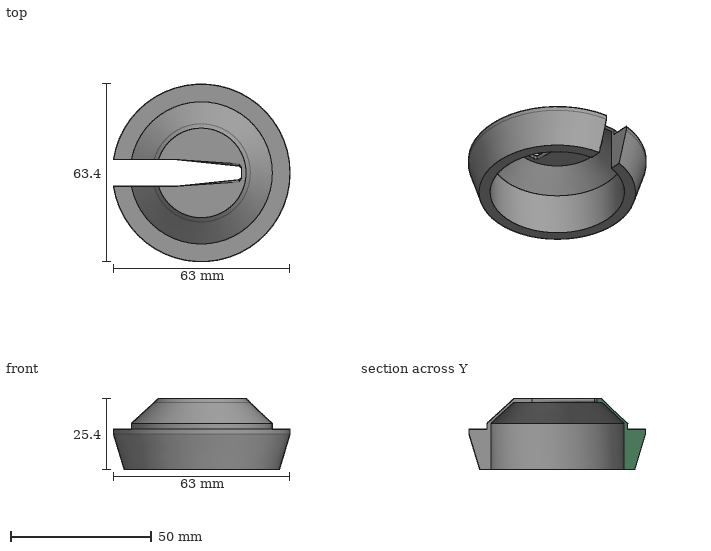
import cadquery as cq

rim_radius = 31.7
base_radius = 27.9
step_radius = 25.35
shoulder_radius = 17.5
top_radius = 16.0
rim_bottom = 12.7
rim_top = 14.4
cone_bottom = 16.5
total_height = 25.4

wall = 1.4
roof_thickness = 1.5
ceiling = total_height - roof_thickness

slot_half_width = 4.75
taper_start = -8.9
lip_end = 13.5
slot_end = 14.25
lip_edge_half_width = 3.25
lip_crest_half_width = 2.4
end_edge_half_width = 1.95
end_crest_half_width = 1.7
start_bulge = 0.03
overlap = 0.65


def revolve_profile(points):
    """Revolve (radius, height) points about the Z axis."""
    return cq.Workplane("XZ").polyline(points).close().revolve(360, (0, 0), (0, 1))


def slot_section(x, edge_half_width, crest_half_width):
    """Closed YZ wire through the roof whose sides bulge inward at mid thickness."""
    middle = (ceiling + total_height) / 2
    return (
        cq.Workplane("YZ", origin=(x, 0, 0))
        .moveTo(-edge_half_width, total_height)
        .lineTo(-edge_half_width, total_height + overlap)
        .lineTo(edge_half_width, total_height + overlap)
        .lineTo(edge_half_width, total_height)
        .threePointArc((crest_half_width, middle), (edge_half_width, ceiling))
        .lineTo(edge_half_width, ceiling - overlap)
        .lineTo(-edge_half_width, ceiling - overlap)
        .lineTo(-edge_half_width, ceiling)
        .threePointArc((-crest_half_width, middle), (-edge_half_width, total_height))
        .close()
        .wire()
        .val()
    )


def loft_sections(first, second):
    return cq.Workplane(cq.Solid.makeLoft([first, second], True))


body = revolve_profile([
    (0, 0),
    (base_radius, 0),
    (rim_radius, rim_bottom),
    (rim_radius, rim_top),
    (step_radius, rim_top),
    (step_radius, cone_bottom),
    (shoulder_radius, ceiling),
    (top_radius, total_height),
    (0, total_height),
])

cavity = revolve_profile([
    (0, 0),
    (step_radius - wall, 0),
    (step_radius - wall, cone_bottom),
    (shoulder_radius - wall, ceiling),
    (0, ceiling),
])

entry_length = rim_radius + taper_start
entry = cq.Workplane("XY").box(
    entry_length, 2 * slot_half_width, total_height, centered=(False, True, False)
).translate((-rim_radius, 0, 0))

start_section = slot_section(taper_start, slot_half_width, slot_half_width - start_bulge)
lip_section = slot_section(lip_end, lip_edge_half_width, lip_crest_half_width)
end_section = slot_section(slot_end, end_edge_half_width, end_crest_half_width)
tapered_slot = loft_sections(start_section, lip_section)
slot_tip = loft_sections(lip_section, end_section)

result = body.cut(cavity).cut(entry).cut(tapered_slot).cut(slot_tip)